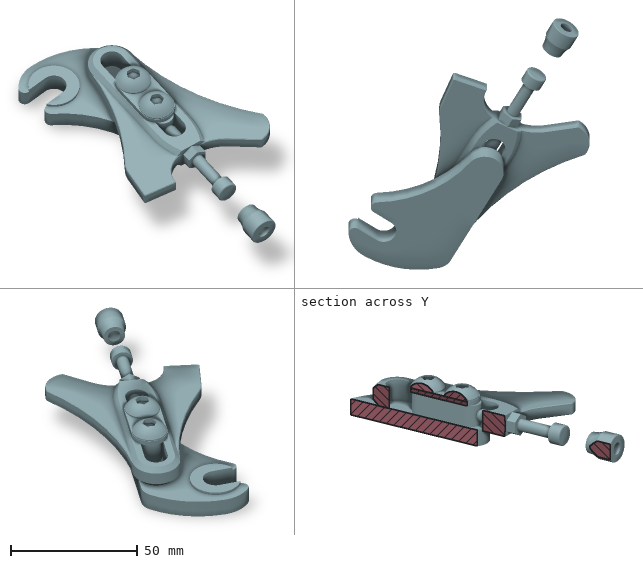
import cadquery as cq
import math


dropout_thickness = 7.0
axle_pad_top = 8.1
tab_bottom = 9.0
tab_top = 14.0
rail_height_beyond_tab = 2.0
rail_bottom = tab_bottom - rail_height_beyond_tab
rail_top = tab_top + rail_height_beyond_tab
washer_top = rail_top + 2.0
bolt_top = 22.07
screw_z = (tab_bottom + tab_top) / 2

axis_y = 22.35
bolt_spacing = 16.0
first_bolt_x = 22.9
bolt_xs = [first_bolt_x, first_bolt_x + bolt_spacing]
bolt_turns = [30.0, 5.0]
bolt_head_radius = 7.0
bolt_rim_height = 0.5
bolt_shank_radius = 3.0
bolt_hex_across_flats = 5.0
bolt_hex_depth = 2.5
washer_radius = 7.15

axle_slot_radius = 5.0
axle_slot_tilt = math.radians(8)
axle_pad_radius = 10.15
dropout_nose_radius = 14.0
dropout_tip_radius = 2.5
right_tip_reach = 8.63
front_edge_radius = 39.0
front_edge_start_angle = math.radians(5.7)
front_corner_radius = 7.0
dropout_end_radius = 7.5
dropout_end_x = 43.2
lower_edge_radius = 49.0
key_radius = 4.5
key_start_x = 16.0
key_end_x = 47.2

rail_radius = 9.5
rail_start_x = 8.2
rail_taper_x = 49.1
rail_taper_radius = 33.0
tab_end_x = 62.3
tab_slot_radius = 4.6
tab_slot_end_x = 55.4
tab_edge_radius = 98.0
tab_edge_start_angle = math.radians(5.1)
tab_edge_break = 0.3
upper_arm_corner_x = 63.85
upper_arm_tip_radius = 9.25
upper_arm_outer_corner = (74.5, 47.82)
upper_arm_inner_slope = math.radians(52.4)
upper_arm_inner_radius = 20.0
lower_arm_bend_x = 53.0
lower_arm_bend_end = (57.1, -4.83)
lower_arm_bottom_corner = (71.4, -6.55)
lower_arm_top_corner = (72.8, 7.65)
lower_arm_corner_radius = 0.7
lower_arm_inner_start = (tab_end_x, 18.2)
lower_arm_inner_radius = 10.6

screw_radius = 2.5
screw_tip_length = 1.0
screw_tip_step = 0.4
screw_head_x = 82.3
screw_head_radius = 4.25
screw_head_length = 5.2
screw_head_rim = 0.6
nut_x = 62.6
nut_thickness = 4.0
nut_across_flats = 8.0
cap_start_x = 100.2
cap_shoulder_x = 105.7
cap_end_x = 112.18
cap_neck_radius = 4.35
cap_body_radius = 5.7
cap_rim_round = 0.3


def polar(center, radius, angle):
    return (center[0] + radius * math.cos(angle), center[1] + radius * math.sin(angle))


def toward(start, target, distance):
    """Point at a distance from start on the line to target."""
    return polar(start, distance, math.atan2(target[1] - start[1], target[0] - start[0]))


def arc_middle(center, start, end):
    """Middle of the arc shorter than a half turn around center."""
    chord_middle = ((start[0] + end[0]) / 2, (start[1] + end[1]) / 2)
    return toward(center, chord_middle, math.dist(center, start))


def circle_crossing(center_a, radius_a, center_b, radius_b):
    """Crossing of two circles that lies to the right when going from a to b."""
    gap = math.dist(center_a, center_b)
    direction = math.atan2(center_b[1] - center_a[1], center_b[0] - center_a[0])
    opening = math.acos((radius_a**2 + gap**2 - radius_b**2) / (2 * radius_a * gap))
    return polar(center_a, radius_a, direction - opening)


def rounded_corner(before, corner, after, radius):
    """Start, middle and end of a round at the corner of two straight edges."""
    angle_before = math.atan2(before[1] - corner[1], before[0] - corner[0])
    angle_after = math.atan2(after[1] - corner[1], after[0] - corner[0])
    half_angle = abs(math.remainder(angle_after - angle_before, math.tau)) / 2
    start = toward(corner, before, radius / math.tan(half_angle))
    end = toward(corner, after, radius / math.tan(half_angle))
    chord_middle = ((start[0] + end[0]) / 2, (start[1] + end[1]) / 2)
    center = toward(corner, chord_middle, radius / math.sin(half_angle))
    return start, arc_middle(center, start, end), end


def obround(start_x, end_x, radius, bottom, top):
    """Round-ended bar on the adjuster axis; start_x and end_x are its extreme ends."""
    return (
        cq.Workplane("XY", origin=((start_x + end_x) / 2, axis_y, bottom))
        .slot2D(end_x - start_x, 2 * radius)
        .extrude(top - bottom)
    )


def rod(start_x, radius, length):
    """Cylinder along X on the screw axis."""
    return cq.Workplane("YZ", origin=(start_x, axis_y, screw_z)).circle(radius).extrude(length)


def bolt_shanks():
    return (
        cq.Workplane("XY")
        .pushPoints([(x, axis_y) for x in bolt_xs])
        .circle(bolt_shank_radius)
        .extrude(washer_top)
    )


def dropout_outline():
    axle = (0, 0)
    slot_left = math.pi + axle_slot_tilt
    slot_right = axle_slot_tilt
    slot_down = axle_slot_tilt - math.pi / 2
    top_y = axis_y + dropout_end_radius

    front_center = polar(axle, front_edge_radius - dropout_nose_radius, front_edge_start_angle)
    nose_start = polar(axle, dropout_nose_radius, math.pi + front_edge_start_angle)
    corner_y = top_y - front_corner_radius
    corner_rise = corner_y - front_center[1]
    corner_run = math.sqrt((front_edge_radius - front_corner_radius) ** 2 - corner_rise**2)
    corner_center = (front_center[0] - corner_run, corner_y)
    corner_top = (corner_center[0], top_y)
    front_start = toward(front_center, corner_center, front_edge_radius)

    tip_offset = axle_slot_radius + dropout_tip_radius
    left_reach = math.sqrt((dropout_nose_radius - dropout_tip_radius) ** 2 - tip_offset**2)
    left_tip = polar(polar(axle, tip_offset, slot_left), left_reach, slot_down)
    nose_end = toward(axle, left_tip, dropout_nose_radius)
    left_slot_mouth = polar(left_tip, dropout_tip_radius, slot_right)

    right_tip = polar(polar(axle, tip_offset, slot_right), right_tip_reach, slot_down)
    right_slot_mouth = polar(right_tip, dropout_tip_radius, slot_left)

    end_center = (dropout_end_x, axis_y)
    lower_center = circle_crossing(
        right_tip, dropout_tip_radius + lower_edge_radius,
        end_center, dropout_end_radius + lower_edge_radius,
    )
    lower_start = toward(right_tip, lower_center, dropout_tip_radius)
    lower_end = toward(end_center, lower_center, dropout_end_radius)
    end_top = (dropout_end_x, top_y)

    return (
        cq.Workplane("XY")
        .moveTo(*end_top)
        .lineTo(*corner_top)
        .threePointArc(arc_middle(corner_center, corner_top, front_start), front_start)
        .threePointArc(arc_middle(front_center, front_start, nose_start), nose_start)
        .threePointArc(arc_middle(axle, nose_start, nose_end), nose_end)
        .threePointArc(arc_middle(left_tip, nose_end, left_slot_mouth), left_slot_mouth)
        .lineTo(*polar(axle, axle_slot_radius, slot_left))
        .threePointArc(
            polar(axle, axle_slot_radius, slot_down + math.pi),
            polar(axle, axle_slot_radius, slot_right),
        )
        .lineTo(*right_slot_mouth)
        .threePointArc(arc_middle(right_tip, right_slot_mouth, lower_start), lower_start)
        .threePointArc(arc_middle(lower_center, lower_start, lower_end), lower_end)
        .threePointArc(arc_middle(end_center, lower_end, end_top), end_top)
        .close()
    )


def make_dropout():
    plate = dropout_outline().extrude(dropout_thickness)
    axle_pad = cq.Workplane("XY").circle(axle_pad_radius).extrude(axle_pad_top)
    axle_pad = axle_pad.intersect(dropout_outline().extrude(axle_pad_top))
    key = obround(key_start_x, key_end_x, key_radius, 0, rail_top)
    return plate.union(axle_pad).union(key).cut(bolt_shanks())


def make_tab_plate():
    rail_center = (rail_start_x, axis_y)
    edge_angle = math.pi / 2 + tab_edge_start_angle
    upper_center = polar(rail_center, rail_radius + tab_edge_radius, edge_angle)
    lower_center = polar(rail_center, rail_radius + tab_edge_radius, -edge_angle)
    upper_start = polar(rail_center, rail_radius, edge_angle)
    lower_start = polar(rail_center, rail_radius, -edge_angle)

    upper_drop = math.sqrt(tab_edge_radius**2 - (upper_arm_corner_x - upper_center[0]) ** 2)
    upper_corner = (upper_arm_corner_x, upper_center[1] - upper_drop)
    tip_center = circle_crossing(
        upper_corner, upper_arm_tip_radius, upper_arm_outer_corner, upper_arm_tip_radius
    )
    inner_run = upper_arm_outer_corner[0] - tab_end_x
    inner_corner = (tab_end_x, upper_arm_outer_corner[1] - inner_run * math.tan(upper_arm_inner_slope))
    inner_start, inner_middle, inner_end = rounded_corner(
        upper_arm_outer_corner, inner_corner, lower_arm_inner_start, upper_arm_inner_radius
    )

    lower_rise = math.sqrt(tab_edge_radius**2 - (lower_arm_bend_x - lower_center[0]) ** 2)
    bend_start = (lower_arm_bend_x, lower_center[1] + lower_rise)
    corner_start, corner_middle, corner_end = rounded_corner(
        lower_arm_bend_end, lower_arm_bottom_corner, lower_arm_top_corner, lower_arm_corner_radius
    )
    hollow_center = circle_crossing(
        lower_arm_top_corner, lower_arm_inner_radius, lower_arm_inner_start, lower_arm_inner_radius
    )

    plate = (
        cq.Workplane("XY", origin=(0, 0, tab_bottom))
        .moveTo(*upper_corner)
        .threePointArc(arc_middle(upper_center, upper_corner, upper_start), upper_start)
        .threePointArc((rail_start_x - rail_radius, axis_y), lower_start)
        .threePointArc(arc_middle(lower_center, lower_start, bend_start), bend_start)
        .tangentArcPoint(lower_arm_bend_end, relative=False)
        .lineTo(*corner_start)
        .threePointArc(corner_middle, corner_end)
        .lineTo(*lower_arm_top_corner)
        .threePointArc(
            arc_middle(hollow_center, lower_arm_top_corner, lower_arm_inner_start), lower_arm_inner_start
        )
        .lineTo(*inner_end)
        .threePointArc(inner_middle, inner_start)
        .lineTo(*upper_arm_outer_corner)
        .threePointArc(arc_middle(tip_center, upper_arm_outer_corner, upper_corner), upper_corner)
        .close()
        .extrude(tab_top - tab_bottom)
    )
    return plate.faces("<Z or >Z").edges().chamfer(tab_edge_break)


def make_rail():
    """Bar with both long edges bevelled, narrowing toward the nut."""
    taper_run = tab_end_x - rail_taper_x
    taper_center_y = axis_y + rail_radius - rail_taper_radius
    end_half_width = taper_center_y + math.sqrt(rail_taper_radius**2 - taper_run**2) - axis_y
    middle_angle = math.pi / 2 - math.asin(taper_run / rail_taper_radius) / 2
    taper_middle = polar((rail_taper_x, taper_center_y), rail_taper_radius, middle_angle)
    rail = (
        cq.Workplane("XY", origin=(0, 0, rail_bottom))
        .moveTo(tab_end_x, axis_y - end_half_width)
        .lineTo(tab_end_x, axis_y + end_half_width)
        .threePointArc(taper_middle, (rail_taper_x, axis_y + rail_radius))
        .lineTo(rail_start_x, axis_y + rail_radius)
        .threePointArc((rail_start_x - rail_radius, axis_y), (rail_start_x, axis_y - rail_radius))
        .lineTo(rail_taper_x, axis_y - rail_radius)
        .threePointArc(
            (taper_middle[0], 2 * axis_y - taper_middle[1]), (tab_end_x, axis_y - end_half_width)
        )
        .close()
        .extrude(rail_top - rail_bottom)
    )
    end_edges = rail.faces(">X").edges().vals()
    rim_edges = rail.faces("<Z or >Z").edges().vals()
    long_edges = [edge for edge in rim_edges if not any(edge.isSame(end) for end in end_edges)]
    return rail.newObject(long_edges).chamfer(rail_height_beyond_tab)


def make_tab():
    slot_start_x = rail_start_x - tab_slot_radius
    slot = obround(slot_start_x, tab_slot_end_x, tab_slot_radius, rail_bottom, rail_top)
    hole_start_x = tab_slot_end_x - tab_slot_radius
    screw_hole = rod(hole_start_x, screw_radius, tab_end_x - hole_start_x)
    return make_tab_plate().union(make_rail()).cut(slot).cut(screw_hole)


def make_washer():
    plate = obround(
        bolt_xs[0] - washer_radius, bolt_xs[1] + washer_radius, washer_radius, rail_top, washer_top
    )
    return plate.cut(bolt_shanks())


def make_bolt(x, turn):
    """Button-head bolt; the dome meets the flats of its hex socket at bolt_top."""
    socket_half = bolt_hex_across_flats / 2
    dome_base = washer_top + bolt_rim_height
    rise = bolt_top - dome_base
    center_z = (socket_half**2 + rise**2 - bolt_head_radius**2) / (2 * rise)
    dome_radius = math.hypot(bolt_head_radius, center_z)
    dome = cq.Workplane("XY").sphere(dome_radius).translate((0, 0, dome_base + center_z))
    head = cq.Workplane("XY", origin=(0, 0, washer_top)).circle(bolt_head_radius).extrude(2 * rise)
    shank = cq.Workplane("XY").circle(bolt_shank_radius).extrude(washer_top)
    hex_socket = (
        cq.Workplane("XY", origin=(0, 0, bolt_top - bolt_hex_depth))
        .polygon(6, bolt_hex_across_flats / math.cos(math.pi / 6))
        .extrude(2 * bolt_hex_depth)
        .rotate((0, 0, 0), (0, 0, 1), turn)
    )
    return head.intersect(dome).cut(hex_socket).union(shank).translate((x, axis_y, 0))


def make_screw():
    shank = (
        rod(key_end_x, screw_radius, screw_head_x - key_end_x)
        .faces("<X")
        .chamfer(screw_tip_length, screw_tip_step)
    )
    head = rod(screw_head_x, screw_head_radius, screw_head_length).faces(">X").fillet(screw_head_rim)
    return shank.union(head)


def make_nut():
    return (
        cq.Workplane("YZ", origin=(nut_x, axis_y, screw_z))
        .transformed(rotate=(0, 0, 90))
        .polygon(6, nut_across_flats / math.cos(math.pi / 6))
        .circle(screw_radius)
        .extrude(nut_thickness)
    )


def make_end_cap():
    """Turned cap with a flared neck and a bore that fits the screw shank."""
    flare_run = cap_shoulder_x - cap_start_x
    flare_rise = cap_body_radius - cap_neck_radius
    flare_radius = (flare_run**2 + flare_rise**2) / (2 * flare_rise)
    flare_center = (cap_start_x, cap_neck_radius + flare_radius)
    neck = (cap_start_x, cap_neck_radius)
    shoulder = (cap_shoulder_x, cap_body_radius)
    return (
        cq.Workplane("XY")
        .moveTo(cap_start_x, screw_radius)
        .lineTo(*neck)
        .threePointArc(arc_middle(flare_center, neck, shoulder), shoulder)
        .lineTo(cap_end_x, cap_body_radius)
        .lineTo(cap_end_x, screw_radius)
        .close()
        .revolve(360, (0, 0, 0), (1, 0, 0))
        .faces(">X")
        .edges(cq.selectors.RadiusNthSelector(-1))
        .fillet(cap_rim_round)
        .translate((0, axis_y, screw_z))
    )


dropout = make_dropout()
tab = make_tab()
washer = make_washer()
bolts = [make_bolt(x, turn) for x, turn in zip(bolt_xs, bolt_turns)]
screw = make_screw()
nut = make_nut()
end_cap = make_end_cap()

result = cq.Compound.makeCompound([
    dropout.val(),
    tab.val(),
    washer.val(),
    *[bolt.val() for bolt in bolts],
    screw.val(),
    nut.val(),
    end_cap.val(),
])